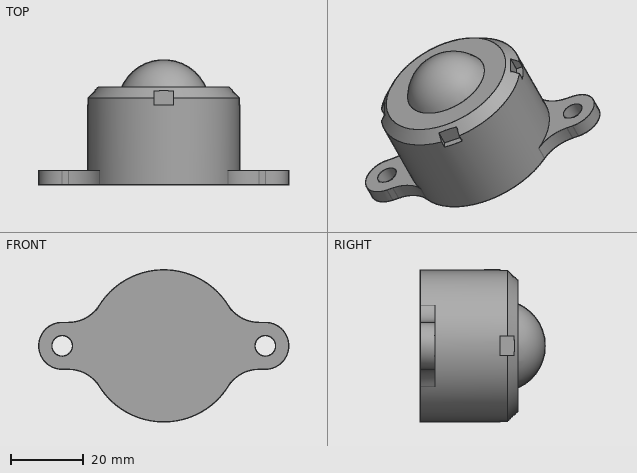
import cadquery as cq
import math

OVERALL_HEIGHT = 34.5
BODY_HEIGHT = 27.0
BODY_RADIUS = 21.0
CHAMFER = 3.0

BALL_RADIUS = 12.7
BALL_CENTER_Y = OVERALL_HEIGHT - BALL_RADIUS

OVERALL_LENGTH = 69.0
EAR_THICKNESS = 4.0
EAR_RADIUS = 6.5
EAR_TIP_X = OVERALL_LENGTH / 2
EAR_CENTER_X = EAR_TIP_X - EAR_RADIUS
EAR_BLEND_RADIUS = 10.0
HOLE_DIAMETER = 5.6

NOTCH_WIDTH = 5.3
NOTCH_FLOOR_RADIUS = 19.0
NOTCH_BOTTOM_Y = 22.0
NOTCH_COUNT = 4

SHOULDER_Y = BODY_HEIGHT - CHAMFER


def make_body():
    """Round housing with a chamfered rim, revolved about Y."""
    return (
        cq.Workplane("XY")
        .moveTo(0, 0)
        .lineTo(-BODY_RADIUS, 0)
        .lineTo(-BODY_RADIUS, SHOULDER_Y)
        .lineTo(CHAMFER - BODY_RADIUS, BODY_HEIGHT)
        .lineTo(0, BODY_HEIGHT)
        .close()
        .revolve(360, (0, 0, 0), (0, 1, 0))
    )


def make_ball():
    """Ball held in the housing, standing proud of the rim."""
    return cq.Workplane("XY").sphere(BALL_RADIUS).translate((0, BALL_CENTER_Y, 0))


def make_ear():
    """Drilled mounting ear on +X, blended into the body circle by two tangent arcs."""
    blend_z = EAR_RADIUS + EAR_BLEND_RADIUS
    center_distance = BODY_RADIUS + EAR_BLEND_RADIUS
    blend_x = math.sqrt(center_distance**2 - blend_z**2)
    touch_x = blend_x * BODY_RADIUS / center_distance
    touch_z = blend_z * BODY_RADIUS / center_distance

    mid_angle = (-math.pi / 2 + math.atan2(-blend_z, -blend_x)) / 2
    mid_x = blend_x + EAR_BLEND_RADIUS * math.cos(mid_angle)
    mid_z = blend_z + EAR_BLEND_RADIUS * math.sin(mid_angle)

    outline = (
        cq.Workplane("XZ")
        .moveTo(touch_x, touch_z)
        .threePointArc((mid_x, mid_z), (blend_x, EAR_RADIUS))
        .lineTo(EAR_CENTER_X, EAR_RADIUS)
        .threePointArc((EAR_TIP_X, 0), (EAR_CENTER_X, -EAR_RADIUS))
        .lineTo(blend_x, -EAR_RADIUS)
        .threePointArc((mid_x, -mid_z), (touch_x, -touch_z))
        .close()
    )
    hole = cq.Workplane("XZ").center(EAR_CENTER_X, 0).circle(HOLE_DIAMETER / 2)
    return outline.extrude(-EAR_THICKNESS).cut(hole.extrude(-EAR_THICKNESS))


def make_notches():
    """Flat-floored notches across the rim chamfer, evenly spaced about Y."""
    notch = (
        cq.Workplane("XY")
        .box(
            BODY_RADIUS - NOTCH_FLOOR_RADIUS,
            BODY_HEIGHT - NOTCH_BOTTOM_Y,
            NOTCH_WIDTH,
            centered=(False, False, True),
        )
        .translate((NOTCH_FLOOR_RADIUS, NOTCH_BOTTOM_Y, 0))
    )
    notches = cq.Workplane("XY")
    for index in range(NOTCH_COUNT):
        angle = index * 360 / NOTCH_COUNT
        notches = notches.add(notch.rotate((0, 0, 0), (0, 1, 0), angle))
    return notches.combine()


housing = make_body().cut(make_notches())
ear = make_ear()
result = housing.union(make_ball()).union(ear).union(ear.mirror("YZ"))